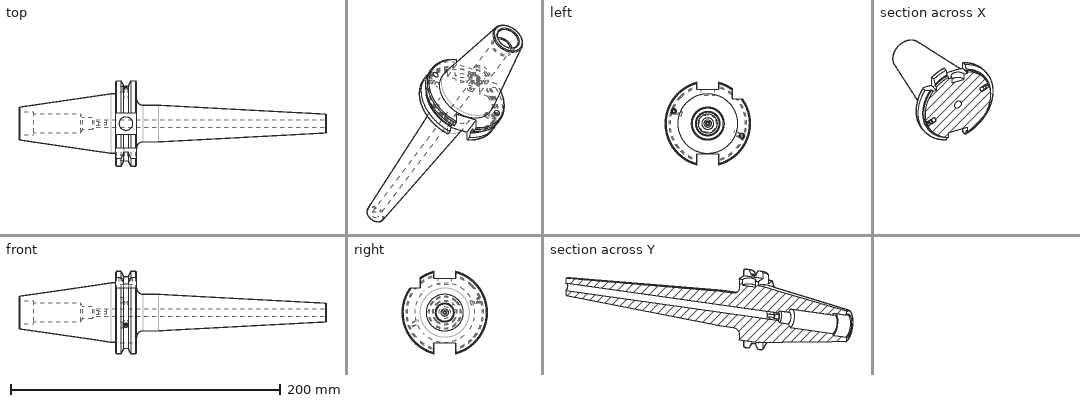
import cadquery as cq
import math

TOTAL_LENGTH = 228.5
TAPER_LENGTH = 68.3
TAPER_RATIO = 7 / 24
GAUGE_RADIUS = 22.2
END_CHAMFER = 0.7

FLANGE_START = 71.7
FLANGE_WIDTH = 15.8
FLANGE_RADIUS = 31.7
RIM_CHAMFER = 1.0
GROOVE_OFFSET = 7.8
GROOVE_HALF_WIDTH = 3.7
GROOVE_SHOULDER_RADIUS = 28.8
GROOVE_FLOOR_RADIUS = 27.9
GROOVE_WALL_ANGLE = 30.0

NECK_RADIUS = 13.7
NECK_FILLET = 4.5
NECK_END = 103.7
NOSE_RADIUS = 7.0

SLOT_WIDTH = 16.0
UPPER_SLOT_FLOOR = 25.4
LOWER_SLOT_FLOOR = 22.5
NOTCH_OFFSET = 18.3
CHIP_HOLE_RADIUS = 5.0
CHIP_HOLE_DEPTH = 4.5

MOUTH_RADIUS = 8.5
MOUTH_DEPTH = 11.0
MOUTH_CHAMFER = 0.7
THREAD_RADIUS = 7.0
THREAD_END = 45.7
PILOT_RADIUS = 4.3
PILOT_END = 54.8
TOOL_BORE_RADIUS = 2.7
DRILL_HALF_ANGLE = 59.0

STOP_SCREW_LENGTH = 9.1
STOP_SCREW_SOCKET_RADIUS = 1.5
STOP_SCREW_SOCKET_DEPTH = 3.5
STOP_SCREW_HOLE_RADIUS = 1.0

PORT_ANGLES = (20.0, 200.0)
PORT_RADIUS = 2.0
PORT_DEPTH = 5.7
PORT_CIRCLE_RADIUS = 27.0
SCREW_HOLE_RADIUS = 1.5

SEAL_SCREW_TOP = 25.1
SEAL_SCREW_LENGTH = 4.5
SEAL_SCREW_SOCKET_RADIUS = 1.1
SEAL_SCREW_SOCKET_DEPTH = 1.8

FLANGE_END = FLANGE_START + FLANGE_WIDTH
GROOVE_CENTRE = FLANGE_START + GROOVE_OFFSET
X_AXIS = cq.Vector(1, 0, 0)


def revolve_about_x(profile):
    """Turn a closed profile of (x, radius) points about the X axis."""
    return profile.close().revolve(360, (0, 0, 0), (1, 0, 0))


def cylinder(radius, length, start, direction):
    return cq.Workplane(obj=cq.Solid.makeCylinder(radius, length, start, direction))


def drill_cone_length(large_radius, small_radius):
    """Axial length of the cone a drill point leaves between two radii."""
    return (large_radius - small_radius) / math.tan(math.radians(DRILL_HALF_ANGLE))


TOOL_BORE_START = PILOT_END + drill_cone_length(PILOT_RADIUS, TOOL_BORE_RADIUS)


def radial_direction(angle):
    return cq.Vector(0, math.cos(math.radians(angle)), math.sin(math.radians(angle)))


def turned_body():
    small_end_radius = GAUGE_RADIUS - TAPER_LENGTH * TAPER_RATIO / 2
    groove_slope = (FLANGE_RADIUS - GROOVE_SHOULDER_RADIUS) * math.tan(math.radians(GROOVE_WALL_ANGLE))
    floor_half_width = GROOVE_HALF_WIDTH - groove_slope
    fillet_middle = NECK_FILLET * (1 - math.sqrt(0.5))
    profile = (
        cq.Workplane("XY")
        .moveTo(0, 0)
        .lineTo(0, small_end_radius - END_CHAMFER)
        .lineTo(END_CHAMFER, small_end_radius + END_CHAMFER * TAPER_RATIO / 2)
        .lineTo(TAPER_LENGTH, GAUGE_RADIUS)
        .lineTo(FLANGE_START, GAUGE_RADIUS)
        .lineTo(FLANGE_START, FLANGE_RADIUS - RIM_CHAMFER)
        .lineTo(FLANGE_START + RIM_CHAMFER, FLANGE_RADIUS)
        .lineTo(GROOVE_CENTRE - GROOVE_HALF_WIDTH, FLANGE_RADIUS)
        .lineTo(GROOVE_CENTRE - floor_half_width, GROOVE_SHOULDER_RADIUS)
        .lineTo(GROOVE_CENTRE - floor_half_width, GROOVE_FLOOR_RADIUS)
        .lineTo(GROOVE_CENTRE + floor_half_width, GROOVE_FLOOR_RADIUS)
        .lineTo(GROOVE_CENTRE + floor_half_width, GROOVE_SHOULDER_RADIUS)
        .lineTo(GROOVE_CENTRE + GROOVE_HALF_WIDTH, FLANGE_RADIUS)
        .lineTo(FLANGE_END - RIM_CHAMFER, FLANGE_RADIUS)
        .lineTo(FLANGE_END, FLANGE_RADIUS - RIM_CHAMFER)
        .lineTo(FLANGE_END, NECK_RADIUS + NECK_FILLET)
        .threePointArc(
            (FLANGE_END + fillet_middle, NECK_RADIUS + fillet_middle),
            (FLANGE_END + NECK_FILLET, NECK_RADIUS),
        )
        .lineTo(NECK_END, NECK_RADIUS)
        .lineTo(TOTAL_LENGTH - END_CHAMFER, NOSE_RADIUS)
        .lineTo(TOTAL_LENGTH, NOSE_RADIUS - END_CHAMFER)
        .lineTo(TOTAL_LENGTH, 0)
    )
    return revolve_about_x(profile)


def axial_bore():
    profile = (
        cq.Workplane("XY")
        .moveTo(0, 0)
        .lineTo(0, MOUTH_RADIUS + MOUTH_CHAMFER)
        .lineTo(MOUTH_CHAMFER, MOUTH_RADIUS)
        .lineTo(MOUTH_DEPTH, MOUTH_RADIUS)
        .lineTo(MOUTH_DEPTH, THREAD_RADIUS)
        .lineTo(THREAD_END, THREAD_RADIUS)
        .lineTo(THREAD_END + drill_cone_length(THREAD_RADIUS, PILOT_RADIUS), PILOT_RADIUS)
        .lineTo(PILOT_END, PILOT_RADIUS)
        .lineTo(TOOL_BORE_START, TOOL_BORE_RADIUS)
        .lineTo(TOTAL_LENGTH, TOOL_BORE_RADIUS)
        .lineTo(TOTAL_LENGTH, 0)
    )
    return revolve_about_x(profile)


def flange_box(y_size, z_size):
    """A block across the flange width, with its lower Y and lower Z corner on the X axis."""
    return (
        cq.Workplane("XY")
        .box(FLANGE_WIDTH, y_size, z_size, centered=False)
        .translate((FLANGE_START, 0, 0))
    )


def flange_cuts():
    slot = flange_box(SLOT_WIDTH, FLANGE_RADIUS).translate((0, -SLOT_WIDTH / 2, 0))
    upper_slot = slot.translate((0, 0, UPPER_SLOT_FLOOR))
    lower_slot = slot.translate((0, 0, -LOWER_SLOT_FLOOR - FLANGE_RADIUS))
    notch = flange_box(FLANGE_RADIUS, FLANGE_RADIUS)
    notch = notch.translate((0, -NOTCH_OFFSET - FLANGE_RADIUS, NOTCH_OFFSET))
    chip_hole = cylinder(
        CHIP_HOLE_RADIUS,
        CHIP_HOLE_DEPTH,
        cq.Vector(GROOVE_CENTRE, 0, UPPER_SLOT_FLOOR - CHIP_HOLE_DEPTH),
        cq.Vector(0, 0, 1),
    )
    return [upper_slot, lower_slot, notch, chip_hole]


def coolant_port(angle):
    outward = radial_direction(angle)
    face_point = outward * PORT_CIRCLE_RADIUS + X_AXIS * FLANGE_START
    axial_hole = cylinder(PORT_RADIUS, PORT_DEPTH, face_point, X_AXIS)
    tip_length = drill_cone_length(PORT_RADIUS, 0)
    tip_start = face_point + X_AXIS * PORT_DEPTH
    drilled_tip = cq.Workplane(obj=cq.Solid.makeCone(PORT_RADIUS, 0, tip_length, tip_start, X_AXIS))
    hole_bottom = SEAL_SCREW_TOP - SEAL_SCREW_LENGTH
    radial_hole = cylinder(
        SCREW_HOLE_RADIUS,
        FLANGE_RADIUS - hole_bottom,
        outward * hole_bottom + X_AXIS * GROOVE_CENTRE,
        outward,
    )
    return axial_hole.union(drilled_tip).union(radial_hole)


def make_housing():
    housing = turned_body().cut(axial_bore())
    for cutter in flange_cuts():
        housing = housing.cut(cutter)
    for angle in PORT_ANGLES:
        housing = housing.cut(coolant_port(angle))
    return housing


def make_stop_screw():
    """Screw in the tool bore, with a socket and a coolant hole through it."""
    start = X_AXIS * TOOL_BORE_START
    body = cylinder(TOOL_BORE_RADIUS, STOP_SCREW_LENGTH, start, X_AXIS)
    socket = cylinder(STOP_SCREW_SOCKET_RADIUS, STOP_SCREW_SOCKET_DEPTH, start, X_AXIS)
    coolant_hole = cylinder(STOP_SCREW_HOLE_RADIUS, STOP_SCREW_LENGTH, start, X_AXIS)
    return body.cut(socket).cut(coolant_hole)


def make_seal_screw(angle):
    """Socket screw at the bottom of a coolant port's radial hole."""
    inward = radial_direction(angle) * -1
    top = inward * -SEAL_SCREW_TOP + X_AXIS * GROOVE_CENTRE
    body = cylinder(SCREW_HOLE_RADIUS, SEAL_SCREW_LENGTH, top, inward)
    socket = cylinder(SEAL_SCREW_SOCKET_RADIUS, SEAL_SCREW_SOCKET_DEPTH, top, inward)
    return body.cut(socket)


housing = make_housing()
stop_screw = make_stop_screw()
seal_screws = [make_seal_screw(angle) for angle in PORT_ANGLES]

result = cq.Compound.makeCompound(
    [housing.solids().val(), stop_screw.val(), *[screw.val() for screw in seal_screws]]
)